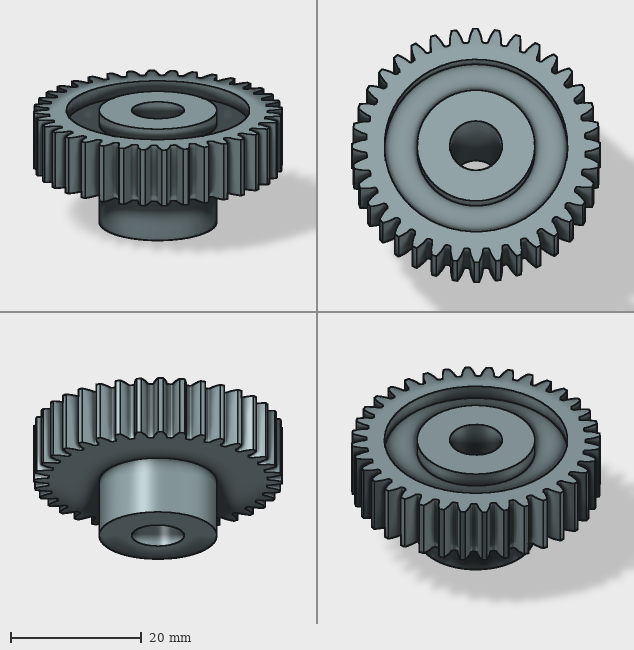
import cadquery as cq
import math

outer_size = 37.9
total_height = 18.0
tooth_count = 36
pressure_angle = math.radians(20)
addendum_factor = 1.0
dedendum_factor = 1.25
root_fillet = 0.38
hub_diameter = 18.0
bore_diameter = 8.0
recess_diameter = 28.0
recess_depth = 2.25
flank_steps = 6

face_width = total_height / 2
hub_length = total_height - face_width


def involute(angle):
    """Involute function: the roll-off angle reached at a given pressure angle."""
    return math.tan(angle) - angle


tooth_pitch_angle = 2 * math.pi / tooth_count
gap_half_angle_at_base = tooth_pitch_angle / 4 - involute(pressure_angle)
tip_radius_ratio = (tooth_count + 2 * addendum_factor) / tooth_count
tip_pressure_angle = math.acos(math.cos(pressure_angle) / tip_radius_ratio)
gap_half_angle_at_tip = gap_half_angle_at_base + involute(tip_pressure_angle)

tip_radius = outer_size / 2 / math.cos(gap_half_angle_at_tip)
pitch_radius = tip_radius / tip_radius_ratio
module = 2 * pitch_radius / tooth_count
base_radius = pitch_radius * math.cos(pressure_angle)
root_radius = pitch_radius - dedendum_factor * module

fillet_centre_radius = root_radius + root_fillet
centre_normal_length = math.sqrt(fillet_centre_radius**2 - base_radius**2)
flank_start_radius = math.hypot(base_radius, centre_normal_length - root_fillet)
gap_half_angle_at_root = (
    gap_half_angle_at_base
    + involute(math.acos(base_radius / fillet_centre_radius))
    - root_fillet / base_radius
)


def polar(radius, angle):
    return (radius * math.cos(angle), radius * math.sin(angle))


def flank_points(gap_angle, side):
    """Involute from root fillet to tip on one side (-1 or +1) of the gap centred at gap_angle."""
    points = []
    for step in range(flank_steps + 1):
        radius = flank_start_radius + (tip_radius - flank_start_radius) * step / flank_steps
        roll = involute(math.acos(base_radius / radius))
        points.append(polar(radius, gap_angle + side * (gap_half_angle_at_base + roll)))
    return points


def add_gap_and_tip(outline, gap_angle):
    """Trace one tooth gap and the tip after it, starting at the clockwise tip corner."""
    falling_flank = flank_points(gap_angle, -1)[::-1]
    rising_flank = flank_points(gap_angle, 1)
    next_tooth_angle = gap_angle + tooth_pitch_angle / 2
    next_corner_angle = gap_angle + tooth_pitch_angle - gap_half_angle_at_tip
    return (
        outline.spline(falling_flank[1:], includeCurrent=True)
        .radiusArc(polar(root_radius, gap_angle - gap_half_angle_at_root), root_fillet)
        .threePointArc(polar(root_radius, gap_angle), polar(root_radius, gap_angle + gap_half_angle_at_root))
        .radiusArc(rising_flank[0], root_fillet)
        .spline(rising_flank[1:], includeCurrent=True)
        .threePointArc(polar(tip_radius, next_tooth_angle), polar(tip_radius, next_corner_angle))
    )


def make_toothed_rim():
    outline = cq.Workplane("XY").moveTo(*polar(tip_radius, -gap_half_angle_at_tip))
    for index in range(tooth_count):
        outline = add_gap_and_tip(outline, index * tooth_pitch_angle)
    return outline.close().extrude(face_width)


def make_hub():
    """Hub below the toothed rim."""
    return cq.Workplane("XY").circle(hub_diameter / 2).extrude(-hub_length)


def make_recess():
    """Ring sunk into the top face, leaving a boss as wide as the hub."""
    return (
        cq.Workplane("XY", origin=(0, 0, face_width))
        .circle(recess_diameter / 2)
        .circle(hub_diameter / 2)
        .extrude(-recess_depth)
    )


def make_bore():
    return (
        cq.Workplane("XY", origin=(0, 0, -hub_length))
        .circle(bore_diameter / 2)
        .extrude(total_height)
    )


result = make_toothed_rim().union(make_hub()).cut(make_recess()).cut(make_bore())